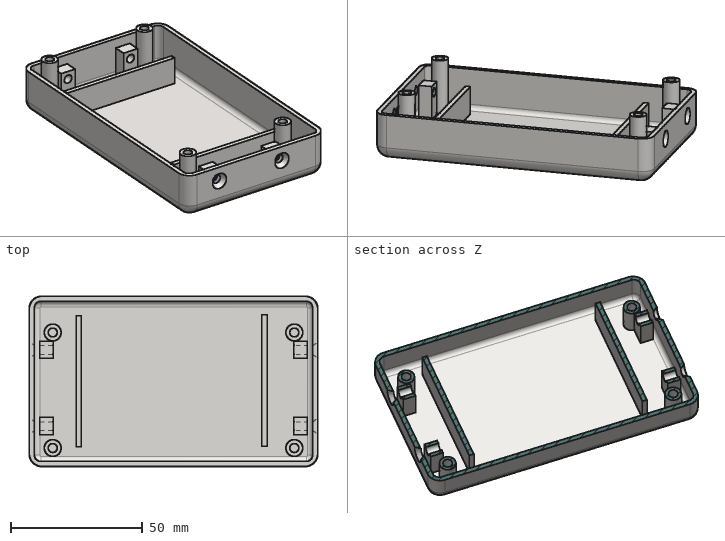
import cadquery as cq

LENGTH = 110.0
WIDTH = 65.0
TRAY_HEIGHT = 18.0
WALL = 2.0
FLOOR = 2.0
OUTER_RADIUS = 5.0
BOTTOM_FILLET = 4.99
INNER_CORNER_RADIUS = 2.5
INNER_FLOOR_FILLET = 2.0

POST_TOP = 23.0
POST_DIAMETER = 6.4
POST_BORE = 3.4
POST_X = 46.0
POST_SPACING_Y = 44.0
POST_CENTER_Y = -3.4

BLOCK_GAP = 2.0
BLOCK_LENGTH = 5.2
BLOCK_WIDTH = 6.5
BLOCK_TOP = 15.3
BLOCK_YS = (12.0, -17.0)

SCREW_DIAMETER = 3.4
SCREW_HEAD_DIAMETER = 6.4
SCREW_Z = 12.0

PARTITION_THICKNESS = 2.0
PARTITION_LENGTH = 50.0
PARTITION_TOP = 13.0
PARTITION_CENTERS = ((-36.1, 0.0), (34.7, 0.3))


def make_shell():
    """Open tray with rounded corners and a rounded bottom edge."""
    outer = (
        cq.Workplane("XY")
        .box(LENGTH, WIDTH, TRAY_HEIGHT, centered=(True, True, False))
        .edges("|Z").fillet(OUTER_RADIUS)
        .faces("<Z").edges().fillet(BOTTOM_FILLET)
    )
    cavity = (
        cq.Workplane("XY", origin=(0, 0, FLOOR))
        .box(LENGTH - 2 * WALL, WIDTH - 2 * WALL, TRAY_HEIGHT, centered=(True, True, False))
        .edges("|Z").fillet(INNER_CORNER_RADIUS)
        .faces("<Z").edges().fillet(INNER_FLOOR_FILLET)
    )
    return outer.cut(cavity)


def floor_block(length, width, top, x, y):
    """Rectangular block standing on the floor, centred on (x, y)."""
    return (
        cq.Workplane("XY", origin=(x, y, FLOOR / 2))
        .box(length, width, top - FLOOR / 2, centered=(True, True, False))
    )


def make_post(x, y):
    """Solid post rooted in the floor."""
    return (
        cq.Workplane("XY", origin=(x, y, FLOOR / 2))
        .circle(POST_DIAMETER / 2)
        .extrude(POST_TOP - FLOOR / 2)
    )


def make_post_bore(x, y):
    """Blind bore from the post top down to the floor surface."""
    return (
        cq.Workplane("XY", origin=(x, y, FLOOR))
        .circle(POST_BORE / 2)
        .extrude(POST_TOP - FLOOR)
    )


def make_screw_hole(side, y):
    """Countersink through the end wall, then a plain hole through the block."""
    outer_face = cq.Vector(side * LENGTH / 2, y, SCREW_Z)
    inward = cq.Vector(-side, 0, 0)
    depth = WALL + BLOCK_GAP + BLOCK_LENGTH
    hole = cq.Solid.makeCylinder(SCREW_DIAMETER / 2, depth, outer_face, inward)
    countersink = cq.Solid.makeCone(SCREW_HEAD_DIAMETER / 2, SCREW_DIAMETER / 2, WALL, outer_face, inward)
    return cq.Workplane(obj=hole).union(cq.Workplane(obj=countersink))


block_x = LENGTH / 2 - WALL - BLOCK_GAP - BLOCK_LENGTH / 2
post_ys = (POST_CENTER_Y + POST_SPACING_Y / 2, POST_CENTER_Y - POST_SPACING_Y / 2)

result = make_shell()

for center_x, center_y in PARTITION_CENTERS:
    partition = floor_block(PARTITION_THICKNESS, PARTITION_LENGTH, PARTITION_TOP, center_x, center_y)
    result = result.union(partition)

for side in (-1, 1):
    for y in post_ys:
        result = result.union(make_post(side * POST_X, y))
    for y in BLOCK_YS:
        result = result.union(floor_block(BLOCK_LENGTH, BLOCK_WIDTH, BLOCK_TOP, side * block_x, y))

for side in (-1, 1):
    for y in post_ys:
        result = result.cut(make_post_bore(side * POST_X, y))
    for y in BLOCK_YS:
        result = result.cut(make_screw_hole(side, y))